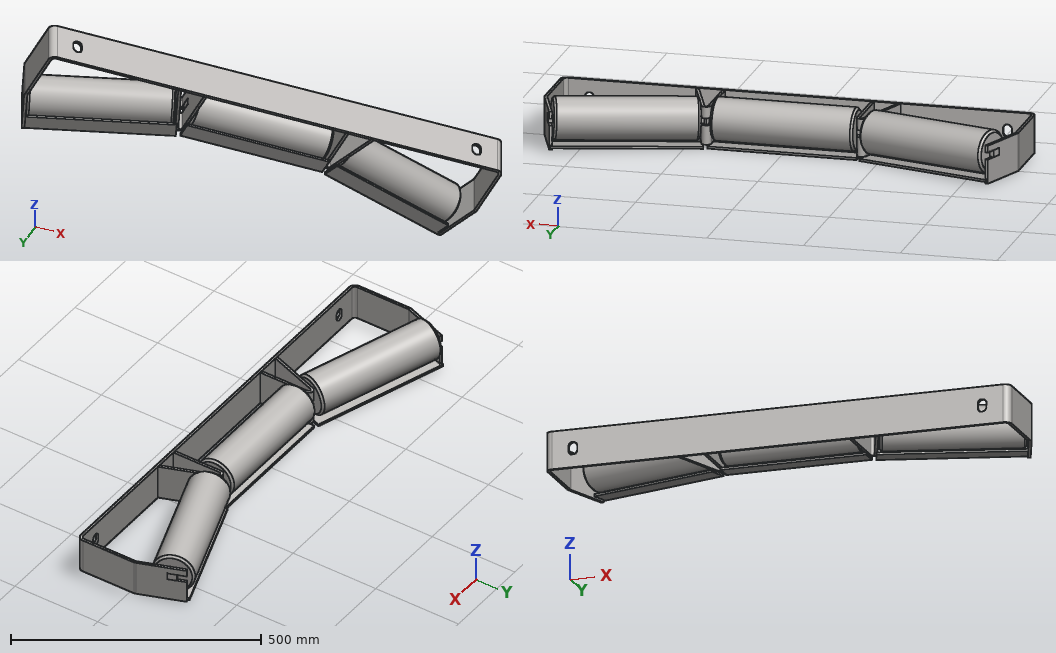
import cadquery as cq
import math

SHEET = 6.0
SHEET_HEIGHT = 79.0
WING_ANGLE = 20.0
WING_LIFT = 1.8

FRAME_LENGTH = 980.0
ARM_BEND_Y = 139.0
ARM_END_Y = 240.0
FRAME_BEND_RADIUS = 14.0
MOUNT_HOLE_X = 432.0
MOUNT_HOLE_WIDTH = 19.0
MOUNT_HOLE_HEIGHT = 26.0

UPRIGHT_X = 154.0
SLANTED_FOOT_X = 210.0
FOOT_Y = SHEET / 2
BRACKET_BEND_RADIUS = 10.0

ROLLER_DIAMETER = 89.0
ROLLER_LENGTH = 295.0
ROLLER_CHAMFER = 5.0
SHAFT_WIDTH = 20.0
SHAFT_THICKNESS = 15.0
SHAFT_LENGTH = 2 * UPRIGHT_X + SHEET
SLOT_REACH = 59.0
CENTRE_AXIS_Y = 99.0
CENTRE_AXIS_Z = 48.0
WING_MID_X = 317.0
WING_MID_Y = 158.0
WING_MID_Z = 53.0

GUARD_LENGTH = 2 * UPRIGHT_X
GUARD_WIDTH = 36.0
GUARD_THICKNESS = 5.0
GUARD_DROP = CENTRE_AXIS_Z


def offset_path(points, distance):
    """Shift an open path sideways (positive to its left), keeping sharp corners."""
    headings = [math.atan2(b[1] - a[1], b[0] - a[0]) for a, b in zip(points, points[1:])]
    before = headings[:1] + headings
    after = headings + headings[-1:]
    shifted = []
    for (x, y), start, end in zip(points, before, after):
        middle = (start + end) / 2
        reach = distance / math.cos((end - start) / 2)
        shifted.append((x - reach * math.sin(middle), y + reach * math.cos(middle)))
    return shifted


def round_bends(sheet, corners, radius):
    """Fillet the vertical edges that stand on the given plan corners."""
    for x, y in corners:
        corner = cq.selectors.NearestToPointSelector((x, y, SHEET_HEIGHT / 2))
        sheet = sheet.edges("|Z").edges(corner).fillet(radius)
    return sheet


def bent_sheet(outer_points, outer_radius):
    """Upright sheet bent along a path; the path is its outer face, the sheet lies to the left."""
    inner_points = offset_path(outer_points, SHEET)
    outline = outer_points + inner_points[::-1]
    sheet = cq.Workplane("XY").polyline(outline).close().extrude(SHEET_HEIGHT)
    sheet = round_bends(sheet, outer_points[1:-1], outer_radius)
    return round_bends(sheet, inner_points[1:-1], outer_radius - SHEET)


def make_frame():
    half = FRAME_LENGTH / 2
    arm_end_x = half - (ARM_END_Y - ARM_BEND_Y) * math.tan(math.radians(WING_ANGLE))
    right_side = [(half, 0), (half, ARM_BEND_Y), (arm_end_x, ARM_END_Y)]
    left_side = [(-x, y) for x, y in right_side[::-1]]
    frame = bent_sheet(left_side + right_side, FRAME_BEND_RADIUS)
    holes = (
        cq.Workplane("XZ")
        .pushPoints([(-MOUNT_HOLE_X, SHEET_HEIGHT / 2), (MOUNT_HOLE_X, SHEET_HEIGHT / 2)])
        .slot2D(MOUNT_HOLE_HEIGHT, MOUNT_HOLE_WIDTH, 90)
        .extrude(-SHEET)
    )
    return frame.cut(holes)


def make_left_bracket():
    apex_y = FOOT_Y + (SLANTED_FOOT_X - UPRIGHT_X) / math.tan(math.radians(WING_ANGLE))
    middle_line = [(-UPRIGHT_X, FOOT_Y), (-UPRIGHT_X, apex_y), (-SLANTED_FOOT_X, FOOT_Y)]
    return bent_sheet(offset_path(middle_line, -SHEET / 2), BRACKET_BEND_RADIUS)


def make_roller():
    """Roller with flat-sided shaft ends, centred on the origin along X."""
    drum = cq.Workplane("YZ").circle(ROLLER_DIAMETER / 2).extrude(ROLLER_LENGTH)
    drum = drum.faces("<X or >X").chamfer(ROLLER_CHAMFER).translate((-ROLLER_LENGTH / 2, 0, 0))
    shaft = cq.Workplane("XY").box(SHAFT_LENGTH, SHAFT_WIDTH, SHAFT_THICKNESS)
    return drum.union(shaft)


def make_shaft_slot():
    """Cutter for the two slots that hold the ends of one shaft and open to the rear."""
    slot_width = SHAFT_WIDTH / 2 + SLOT_REACH
    slot_middle = (SLOT_REACH - SHAFT_WIDTH / 2) / 2
    cutter = cq.Workplane("XY").box(SHAFT_LENGTH + SHEET, slot_width, SHAFT_THICKNESS)
    return cutter.translate((0, slot_middle, 0))


def make_guard():
    """Plate below the rear half of a roller, placed relative to the roller's middle."""
    return cq.Workplane("XY").box(GUARD_LENGTH, GUARD_WIDTH, GUARD_THICKNESS).translate(
        (0, GUARD_WIDTH / 2, -GUARD_DROP - GUARD_THICKNESS / 2))


def wing_place(side):
    """Place of an outer roller; side is -1 for left, 1 for right."""
    swing = cq.Location(cq.Vector(), cq.Vector(0, 0, 1), side * WING_ANGLE)
    lift = cq.Location(cq.Vector(), cq.Vector(0, 1, 0), -side * WING_LIFT)
    return cq.Location(cq.Vector(side * WING_MID_X, WING_MID_Y, WING_MID_Z)) * swing * lift


centre_place = cq.Location(cq.Vector(0, CENTRE_AXIS_Y, CENTRE_AXIS_Z))
places = [wing_place(-1), centre_place, wing_place(1)]

frame = make_frame()
left_bracket = make_left_bracket().cut(frame)
brackets = [left_bracket, left_bracket.mirror("YZ")]

slot = make_shaft_slot().val()
for place in places:
    cutter = cq.Workplane(slot.moved(place))
    frame = frame.cut(cutter)
    brackets = [bracket.cut(cutter) for bracket in brackets]

roller = make_roller().val()
rollers = [roller.moved(place) for place in places]

guards = []
for place in places:
    guard = cq.Workplane(make_guard().val().moved(place))
    for sheet in [frame, *brackets]:
        guard = guard.cut(sheet)
    guards.append(guard.val())

bodies = [frame.val(), *[bracket.val() for bracket in brackets], *rollers, *guards]
result = cq.Compound.makeCompound([*bodies])